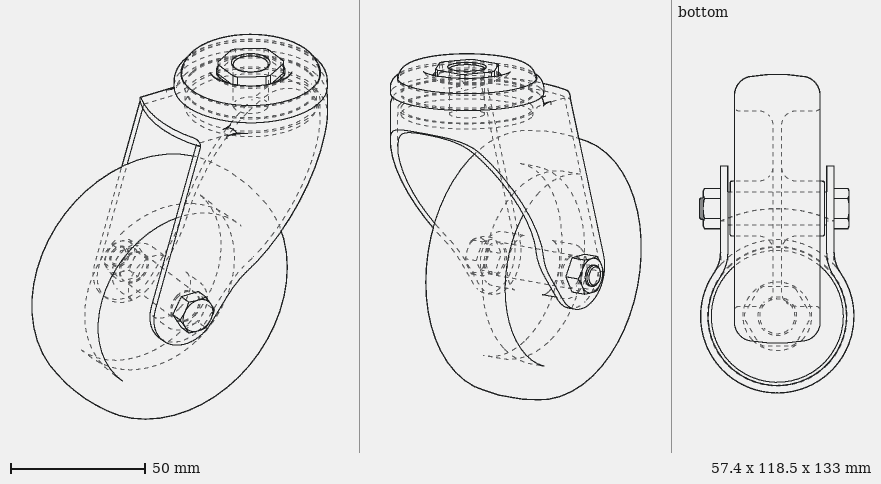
import cadquery as cq
import math


axle_y = -40.0
wheel_radius = 50.0
wheel_half_width = 16.0
shoulder_radius = 49.1
shoulder_half_width = 10.6
shoulder_arc_radius = 7.3
sidewall_inner_radius = 38.0
rim_lip_radius = 36.3
web_half_thickness = 1.6
web_fillet = 5.3
hub_radius = 20.5 / 2
hub_half_width = 17.5
hub_edge_fillet = 0.8

swivel_radius = 57.0 / 2
edge_round = 4.0
flat_radius = swivel_radius - edge_round
head_top_z = 83.0
crown_outer_radius = 21.1
crown_arc_radius = 4.5
crown_inner_radius = 19.2
lip_radius = 26.0
lip_groove_z = 78.2
cup_round_z = 75.1
cup_bottom_z = 73.0
funnel_mid_radius = 15.8
funnel_mid_z = 81.3
funnel_floor_radius = 13.4
funnel_floor_z = 79.7
funnel_top_round = 4.1
funnel_floor_round = 2.9
nut_seat_radius = 12.8
nut_seat_z = 79.0
head_nut_flats = 22.1
head_nut_corner_radius = 12.2
stem_hole_diameter = 13.0
stem_hole_chamfer = 0.7
race_bottom_z = 65.0

sheet = 2.8
cap_top_z = 72.5
cap_round_z = cap_top_z - edge_round
plate_top_z = 70.1
plate_bottom_z = plate_top_z - sheet
plate_front_radius = wheel_radius
leg_outer_x = 21.1
leg_inner_x = leg_outer_x - sheet
side_blend_radius = 13.2
plate_front_y = axle_y
plate_corner_y = plate_front_y + plate_front_radius - math.sqrt(plate_front_radius**2 - leg_outer_x**2)
plate_foot_radius = 3.5
leg_end_y = -41.9
leg_end_radius = 14.0
back_edge_angle = math.radians(37.5)
back_edge_z = 64.1
back_edge_fillet = 20.0
bend_radius = 2.7
plate_back_y = -13.3
clearance = 6.6

bolt_radius = 8.0 / 2
sleeve_radius = 12.4 / 2
hex_flats = 13.0
nut_outer_x = -27.5
bolt_end_x = -28.93
bolt_end_chamfer = 0.5
bolt_head_outer_x = 26.7


def revolve_about_z(profile):
    """Turn a profile drawn as (radius, z) about the swivel axis."""
    return profile.close().revolve(360, (0, 0, 0), (0, 1, 0))


def along_axle(start_x):
    """Sketch plane across the wheel axis, facing +X."""
    return cq.Workplane("YZ", origin=(start_x, axle_y, 0))


def chamfered_hex(plane, flats, height):
    """Hexagonal prism whose corners are cut back by a cone at the outer end."""
    corner_radius = flats / math.sqrt(3)
    prism = plane.polygon(6, 2 * corner_radius).extrude(height)
    corner_cut = corner_radius - flats / 2
    envelope = plane.circle(corner_radius).extrude(height)
    outer_end = envelope.faces(cq.selectors.NearestToPointSelector(plane.plane.toWorldCoords((0, 0, height))))
    return prism.intersect(outer_end.chamfer(corner_cut / 2, corner_cut))


def shoulder_arc(side):
    """Start, middle and end, as (x, radius), of the rounded tread shoulder on one side of the wheel."""
    arc_center_x = wheel_half_width - shoulder_arc_radius
    rise = math.sqrt(shoulder_arc_radius**2 - (shoulder_half_width - arc_center_x) ** 2)
    sidewall_radius = shoulder_radius - rise
    mid_angle = math.atan2(rise, shoulder_half_width - arc_center_x) / 2
    shoulder_mid = (
        side * (arc_center_x + shoulder_arc_radius * math.cos(mid_angle)),
        sidewall_radius + shoulder_arc_radius * math.sin(mid_angle),
    )
    return (side * wheel_half_width, sidewall_radius), shoulder_mid, (side * shoulder_half_width, shoulder_radius)


def build_wheel():
    left_wall, left_mid, left_shoulder = shoulder_arc(-1)
    right_wall, right_mid, right_shoulder = shoulder_arc(1)
    body = (
        cq.Workplane("XY", origin=(0, axle_y, 0))
        .moveTo(-wheel_half_width, 0)
        .lineTo(*left_wall)
        .threePointArc(left_mid, left_shoulder)
        .threePointArc((0, wheel_radius), right_shoulder)
        .threePointArc(right_mid, right_wall)
        .lineTo(wheel_half_width, 0)
        .close()
        .revolve(360, (0, 0, 0), (1, 0, 0))
    )
    lip_round = sidewall_inner_radius - rim_lip_radius
    for side in (-1, 1):
        dish = (
            cq.Workplane("XY", origin=(0, axle_y, 0))
            .moveTo(side * web_half_thickness, hub_radius + web_fillet)
            .lineTo(side * web_half_thickness, rim_lip_radius - web_fillet)
            .radiusArc((side * (web_half_thickness + web_fillet), rim_lip_radius), side * web_fillet)
            .lineTo(side * (wheel_half_width - lip_round), rim_lip_radius)
            .radiusArc((side * wheel_half_width, sidewall_inner_radius), -side * lip_round)
            .lineTo(side * wheel_half_width, hub_radius)
            .lineTo(side * (web_half_thickness + web_fillet), hub_radius)
            .radiusArc((side * web_half_thickness, hub_radius + web_fillet), side * web_fillet)
            .close()
            .revolve(360, (0, 0, 0), (1, 0, 0))
        )
        body = body.cut(dish)
    hub = along_axle(-hub_half_width).circle(hub_radius).extrude(2 * hub_half_width)
    hub = hub.faces("<X or >X").edges().fillet(hub_edge_fillet)
    bore = along_axle(-hub_half_width).circle(sleeve_radius).extrude(2 * hub_half_width)
    return body.union(hub).cut(bore)


def blend_points(radius):
    """Where a flank blend meets a round back of the given radius, and the Y where the straight flank starts."""
    blend_x = leg_outer_x + side_blend_radius
    blend_y = -math.sqrt((swivel_radius + side_blend_radius) ** 2 - blend_x**2)
    reach = radius / math.hypot(blend_x, blend_y)
    return blend_x * reach, blend_y * reach, blend_y


def fork_outline(radius, leg_x, blend_radius, front_y):
    """Plan outline: round back, concave blends into two straight flanks, straight front."""
    tangent_x, tangent_y, blend_y = blend_points(radius)
    return (
        cq.Workplane("XY")
        .moveTo(-leg_x, front_y)
        .lineTo(-leg_x, blend_y)
        .radiusArc((-tangent_x, tangent_y), -blend_radius)
        .threePointArc((0, radius), (tangent_x, tangent_y))
        .radiusArc((leg_x, blend_y), -blend_radius)
        .lineTo(leg_x, front_y)
    )


def side_profile():
    """Side shape of the fork walls: sloping back edge, round leg ends, sloping front edge."""
    blend_y = blend_points(swivel_radius)[2]
    corner_offset = plate_corner_y - leg_end_y
    front_angle = math.atan2(corner_offset, plate_bottom_z) + math.asin(
        leg_end_radius / math.hypot(corner_offset, plate_bottom_z)
    )
    front_tangent = (
        leg_end_y - leg_end_radius * math.cos(front_angle),
        leg_end_radius * math.sin(front_angle),
    )
    back_tangent = (
        leg_end_y + leg_end_radius * math.cos(back_edge_angle),
        -leg_end_radius * math.sin(back_edge_angle),
    )
    knee_y = back_tangent[0] + (back_edge_z - back_tangent[1]) * math.tan(back_edge_angle)
    back_y = knee_y + 2 * back_edge_fillet
    half_length = swivel_radius + clearance
    slab = (
        cq.Workplane("YZ", origin=(-half_length, 0, 0))
        .moveTo(*front_tangent)
        .lineTo(plate_corner_y, plate_bottom_z)
        .lineTo(blend_y, plate_bottom_z)
        .lineTo(blend_y, cap_round_z)
        .lineTo(back_y, cap_round_z)
        .lineTo(back_y, back_edge_z)
        .lineTo(knee_y, back_edge_z)
        .lineTo(*back_tangent)
        .threePointArc((leg_end_y, -leg_end_radius), front_tangent)
        .close()
        .extrude(2 * half_length)
    )
    knee = cq.selectors.NearestToPointSelector((0, knee_y, back_edge_z))
    return slab.edges(knee).fillet(back_edge_fillet)


def build_walls():
    floor_z = -leg_end_radius - clearance
    front_y = leg_end_y - leg_end_radius - clearance
    outer = fork_outline(swivel_radius, leg_outer_x, side_blend_radius, front_y)
    inner = fork_outline(swivel_radius - sheet, leg_inner_x, side_blend_radius + sheet, front_y)
    block = outer.close().extrude(cap_round_z - floor_z)
    cavity = inner.close().extrude(plate_bottom_z - floor_z)
    walls = block.cut(cavity).translate((0, 0, floor_z))
    return walls.intersect(side_profile())


def build_plate():
    """Top plate, rounded where it bends down into the walls."""
    plate = (
        cq.Workplane("XY", origin=(0, 0, plate_bottom_z))
        .moveTo(-leg_outer_x, plate_corner_y)
        .lineTo(-leg_outer_x, plate_back_y)
        .lineTo(leg_outer_x, plate_back_y)
        .lineTo(leg_outer_x, plate_corner_y)
        .threePointArc((0, plate_front_y), (-leg_outer_x, plate_corner_y))
        .close()
        .extrude(sheet)
    )
    return plate.faces(">Z").edges("|Y").fillet(bend_radius)


def build_cap():
    """Raised round cap around the swivel axis, its whole rim rounded over."""
    diagonal = edge_round * math.sqrt(0.5)
    return revolve_about_z(
        cq.Workplane("XZ")
        .moveTo(0, cap_round_z)
        .lineTo(swivel_radius, cap_round_z)
        .threePointArc((flat_radius + diagonal, cap_round_z + diagonal), (flat_radius, cap_top_z))
        .lineTo(0, cap_top_z)
    )


def build_cap_foot():
    """Concave fillet from the cap down to the front part of the plate."""
    foot_arc_z = plate_top_z + plate_foot_radius
    rise = foot_arc_z - cap_round_z
    arc_distance = edge_round + plate_foot_radius
    run = math.sqrt(arc_distance**2 - rise**2)
    tangent = (flat_radius + run * edge_round / arc_distance, cap_round_z + rise * edge_round / arc_distance)
    ring = revolve_about_z(
        cq.Workplane("XZ")
        .moveTo(flat_radius, plate_bottom_z)
        .lineTo(*tangent)
        .radiusArc((flat_radius + run, plate_top_z), -plate_foot_radius)
        .lineTo(flat_radius + run, plate_bottom_z)
    )
    front_zone = (
        cq.Workplane("XY", origin=(0, (plate_front_y - leg_inner_x) / 2, plate_bottom_z))
        .rect(2 * leg_inner_x, -leg_inner_x - plate_front_y)
        .extrude(cap_top_z - plate_bottom_z)
    )
    return ring.intersect(front_zone)


def build_head():
    crown_arc_z = head_top_z - crown_arc_radius
    crown_edge = crown_outer_radius + crown_arc_radius
    lip_z = cup_round_z + math.sqrt(edge_round**2 - (lip_radius - flat_radius) ** 2)
    lip_angle = math.atan2(lip_z - cup_round_z, lip_radius - flat_radius) / 2
    cup_mid = (flat_radius + edge_round * math.cos(lip_angle), cup_round_z + edge_round * math.sin(lip_angle))
    head = revolve_about_z(
        cq.Workplane("XZ")
        .moveTo(0, race_bottom_z)
        .lineTo(flat_radius, race_bottom_z)
        .lineTo(flat_radius, cup_bottom_z)
        .lineTo(swivel_radius, cup_bottom_z)
        .lineTo(swivel_radius, cup_round_z)
        .threePointArc(cup_mid, (lip_radius, lip_z))
        .lineTo(lip_radius, lip_groove_z)
        .lineTo(crown_edge, lip_groove_z)
        .lineTo(crown_edge, crown_arc_z)
        .radiusArc((crown_outer_radius, head_top_z), -crown_arc_radius)
        .lineTo(crown_inner_radius, head_top_z)
        .radiusArc((funnel_mid_radius, funnel_mid_z), -funnel_top_round)
        .radiusArc((funnel_floor_radius, funnel_floor_z), funnel_floor_round)
        .lineTo(nut_seat_radius, funnel_floor_z)
        .lineTo(nut_seat_radius, nut_seat_z)
        .lineTo(0, nut_seat_z)
    )
    nut_height = head_top_z - nut_seat_z
    nut_base = cq.Workplane("XY", origin=(0, 0, nut_seat_z))
    nut = nut_base.polygon(6, 2 * head_nut_flats / math.sqrt(3)).extrude(nut_height)
    rounded_nut = nut.intersect(nut_base.circle(head_nut_corner_radius).extrude(nut_height))
    return head.union(rounded_nut)


def build_stem_hole():
    hole_radius = stem_hole_diameter / 2
    return revolve_about_z(
        cq.Workplane("XZ")
        .moveTo(0, race_bottom_z)
        .lineTo(hole_radius, race_bottom_z)
        .lineTo(hole_radius, head_top_z - stem_hole_chamfer)
        .lineTo(hole_radius + stem_hole_chamfer, head_top_z)
        .lineTo(0, head_top_z)
    )


def build_axle():
    """Bolt, its nut on the -X side, its head on the +X side, and the sleeve between the legs."""
    sleeve = along_axle(-leg_inner_x).circle(sleeve_radius).extrude(2 * leg_inner_x)
    bolt = along_axle(bolt_end_x).circle(bolt_radius).extrude(leg_outer_x - bolt_end_x)
    bolt = bolt.faces("<X").chamfer(bolt_end_chamfer)
    nut_plane = along_axle(-leg_outer_x)
    nut = chamfered_hex(nut_plane, hex_flats, nut_outer_x + leg_outer_x)
    bolt_head = chamfered_hex(along_axle(leg_outer_x), hex_flats, bolt_head_outer_x - leg_outer_x)
    return sleeve.union(bolt).union(nut).union(bolt_head)


def build_frame():
    roof = build_plate().union(build_cap()).union(build_cap_foot())
    fork = roof.union(build_walls())
    return fork.union(build_head()).cut(build_stem_hole()).union(build_axle())


frame = build_frame()
wheel = build_wheel()
result = cq.Compound.makeCompound([frame.val(), wheel.val()])